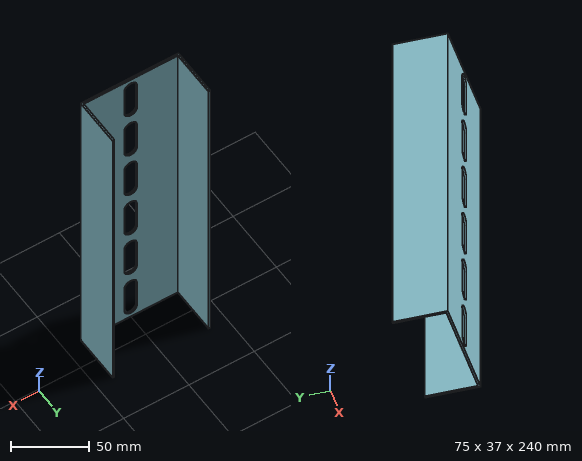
import cadquery as cq

length = 240.0
width = 75.0
depth = 37.0
thickness = 1.5

slot_count = 6
slot_pitch = length / slot_count
slot_length = 32.2
slot_width = 9.5


def make_channel():
    outer = cq.Workplane("XY").box(width, depth, length, centered=(True, False, False))
    inner = (
        cq.Workplane("XY")
        .box(width - 2 * thickness, depth - thickness, length, centered=(True, False, False))
        .translate((0, thickness, 0))
    )
    return outer.cut(inner)


def make_slots():
    return (
        cq.Workplane("XZ")
        .center(0, length / 2)
        .rarray(2.5, slot_pitch, 1, slot_count)
        .slot2D(slot_length, slot_width, 90)
        .extrude(-thickness)
    )


result = make_channel().cut(make_slots())